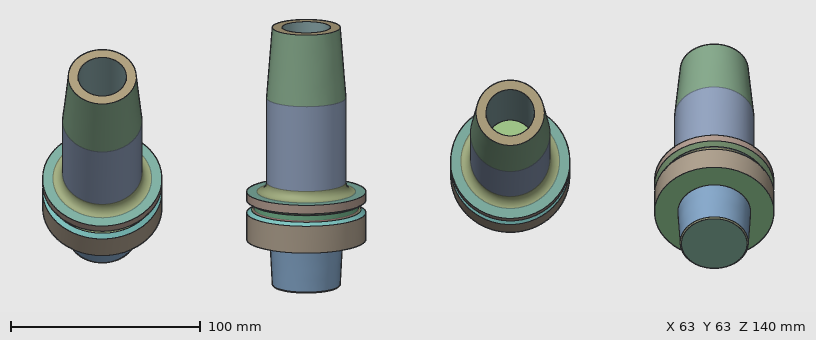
import cadquery as cq

total_height = 140.0
collar_bottom = 25.0
collar_top = 51.0
groove_bottom = 39.6
groove_top = 46.3
nose_taper_start = 101.9

collar_diameter = 63.0
groove_diameter = 55.2
ledge_diameter = 57.7
body_diameter = 42.0
nose_diameter = 36.0
shank_end_diameter = 36.0
shank_root_diameter = 38.5
bore_diameter = 25.5

groove_flank_height = 1.5
groove_corner_radius = 0.4
shank_chamfer = 0.7
neck_fillet_radius = 5.0
bore_depth = 56.0


def turned_profile():
    """Half section of the holder: radius across, height up, closed on the axis."""
    shank_end_radius = shank_end_diameter / 2
    collar_radius = collar_diameter / 2
    groove_radius = groove_diameter / 2
    ledge_radius = ledge_diameter / 2
    lower_ledge = groove_bottom + groove_flank_height
    upper_ledge = groove_top - groove_flank_height
    corner = groove_corner_radius
    body_radius = body_diameter / 2
    return (
        cq.Workplane("XZ")
        .moveTo(0, 0)
        .lineTo(shank_end_radius - shank_chamfer, 0)
        .lineTo(shank_end_radius, shank_chamfer)
        .lineTo(shank_root_diameter / 2, collar_bottom)
        .lineTo(collar_radius, collar_bottom)
        .lineTo(collar_radius, groove_bottom)
        .lineTo(ledge_radius, lower_ledge)
        .lineTo(groove_radius + corner, lower_ledge)
        .radiusArc((groove_radius, lower_ledge + corner), corner)
        .lineTo(groove_radius, upper_ledge - corner)
        .radiusArc((groove_radius + corner, upper_ledge), corner)
        .lineTo(ledge_radius, upper_ledge)
        .lineTo(collar_radius, groove_top)
        .lineTo(collar_radius, collar_top)
        .lineTo(body_radius + neck_fillet_radius, collar_top)
        .radiusArc((body_radius, collar_top + neck_fillet_radius), neck_fillet_radius)
        .lineTo(body_radius, nose_taper_start)
        .lineTo(nose_diameter / 2, total_height)
        .lineTo(0, total_height)
        .close()
    )


holder = turned_profile().revolve(360, (0, 0, 0), (0, 1, 0))

bore = (
    cq.Workplane("XY")
    .workplane(offset=total_height - bore_depth)
    .circle(bore_diameter / 2)
    .extrude(bore_depth)
)

result = holder.cut(bore)